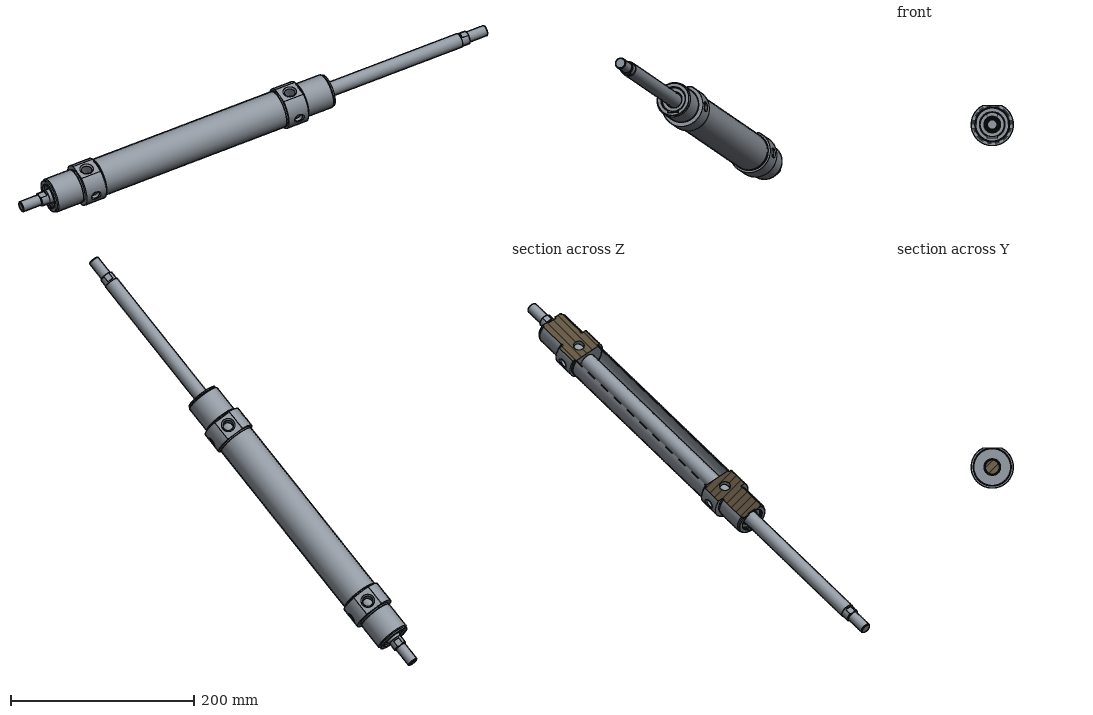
import cadquery as cq
overall_length = 571.0
rod_diameter = 16.0
thread_diameter = 12.0
thread_length = 22.0
thread_chamfer = 0.85
collar_diameter = 15.0
collar_length = 9.5
collar_chamfer = 0.85
flats_width = 13.0
flats_length = 8.0

cylinder_centre = -80.0
cylinder_length = 343.0
cover_diameter = 46.0
cover_length = 24.0
lip_length = 1.5
tube_diameter = 41.5
tube_bore = 40.0

nose_diameter = 38.0
nose_length = 35.5
land_diameter = 36.0
land_length = 1.5
relief_diameter = 37.0
relief_width = 1.5

recess_diameter = 28.0
recess_depth = 1.5
bore_diameter = 26.0
bore_depth = 3.5
slot_width = 12.0
slot_depth = 1.5
slot_reach = 15.0
seal_diameter = 18.0
seal_depth = 3.0

sleeve_diameter = 18.0

port_offset = 47.0
port_diameter = 11.5
port_mouth_diameter = 15.0
mounting_diameter = 9.0
mounting_mouth_diameter = 12.0
mounting_depth = 5.5

cover_end = nose_length + cover_length + lip_length
tube_length = cylinder_length - 2 * cover_end
sleeve_length = cylinder_length - 2 * nose_length


def cylinder_along_y(diameter, start, length):
    """Solid cylinder on the Y axis that runs from `start` toward +Y."""
    return cq.Workplane("XZ", origin=(0, start, 0)).circle(diameter / 2).extrude(-length)


def drill(surface, mouth_diameter, diameter, depth):
    """Countersunk drill that points down -Z from the height `surface`, on the Z axis."""
    countersink = (mouth_diameter - diameter) / 2
    profile = [
        (0, surface),
        (mouth_diameter / 2, surface),
        (diameter / 2, surface - countersink),
        (diameter / 2, surface - depth),
        (0, surface - depth),
    ]
    return cq.Workplane("XZ").polyline(profile).close().revolve(360, (0, 0, 0), (0, 1, 0))


def wrench_flats_cut(start):
    """Material removed above and below the collar to leave two parallel flats."""
    blank = cq.Workplane("XY").box(rod_diameter, flats_length, rod_diameter)
    core = cq.Workplane("XY").box(rod_diameter, flats_length, flats_width)
    return blank.cut(core).translate((0, start + flats_length / 2, 0))


def make_rod():
    thread_end = overall_length / 2
    collar_end = thread_end - thread_length
    shaft_end = collar_end - collar_length
    thread = cylinder_along_y(thread_diameter, -thread_end, 2 * thread_end)
    thread = thread.faces("<Y or >Y").chamfer(thread_chamfer)
    collar = cylinder_along_y(collar_diameter, -collar_end, 2 * collar_end)
    collar = collar.faces("<Y or >Y").chamfer(collar_chamfer)
    for start in (-collar_end, collar_end - flats_length):
        collar = collar.cut(wrench_flats_cut(start))
    return cylinder_along_y(rod_diameter, -shaft_end, 2 * shaft_end).union(collar).union(thread)


def make_tube():
    start = cylinder_centre - tube_length / 2
    tube = cylinder_along_y(tube_diameter, start, tube_length)
    return tube.cut(cylinder_along_y(tube_bore, start, tube_length))


def make_sleeve():
    start = cylinder_centre - sleeve_length / 2
    sleeve = cylinder_along_y(sleeve_diameter, start, sleeve_length)
    return sleeve.cut(cylinder_along_y(rod_diameter, start, sleeve_length))


def make_cover():
    """Cover with its nose face at Y = 0 and its tube end toward +Y."""
    nose = cylinder_along_y(nose_diameter, land_length, nose_length - land_length - relief_width)
    nose = nose.faces("<Y").chamfer((nose_diameter - land_diameter) / 2)
    nose = nose.faces(">Y").chamfer((nose_diameter - relief_diameter) / 2)
    nose = nose.union(cylinder_along_y(land_diameter, 0, land_length))
    nose = nose.union(cylinder_along_y(relief_diameter, nose_length - relief_width, relief_width))
    lip = cylinder_along_y(tube_diameter, nose_length + cover_length, lip_length)
    cover = cylinder_along_y(cover_diameter, nose_length, cover_length).union(lip).union(nose)

    flat_height = tube_diameter / 2
    above_flat = cq.Workplane("XY").box(cover_diameter, cover_end, cover_diameter, centered=(True, False, False))
    cover = cover.cut(above_flat.translate((0, 0, flat_height)))

    cover = cover.cut(cylinder_along_y(rod_diameter, 0, cover_end))
    cover = cover.cut(cylinder_along_y(sleeve_diameter, nose_length, cover_length + lip_length))

    cover = cover.cut(cylinder_along_y(recess_diameter, 0, recess_depth))
    slot = cq.Workplane("XY").box(slot_width, slot_depth, slot_reach, centered=(True, False, False))
    cover = cover.cut(slot.translate((0, 0, -slot_reach)))
    cover = cover.cut(cylinder_along_y(bore_diameter, 0, bore_depth))
    cover = cover.cut(cylinder_along_y(seal_diameter, bore_depth, seal_depth))

    port = drill(flat_height, port_mouth_diameter, port_diameter, flat_height)
    cover = cover.cut(port.translate((0, port_offset, 0)))

    mounting = drill(cover_diameter / 2, mounting_mouth_diameter, mounting_diameter, mounting_depth)
    for angle in (-90, 90):
        hole = mounting.rotate((0, 0, 0), (0, 1, 0), angle)
        cover = cover.cut(hole.translate((0, port_offset, 0)))
    return cover


rod = make_rod()
tube = make_tube()
sleeve = make_sleeve()
front_cover = make_cover().translate((0, cylinder_centre - cylinder_length / 2, 0))
covers = [front_cover, front_cover.mirror("XZ", (0, cylinder_centre, 0))]

result = cq.Compound.makeCompound(
    [rod.val(), tube.val(), sleeve.val(), *[cover.val() for cover in covers]]
)